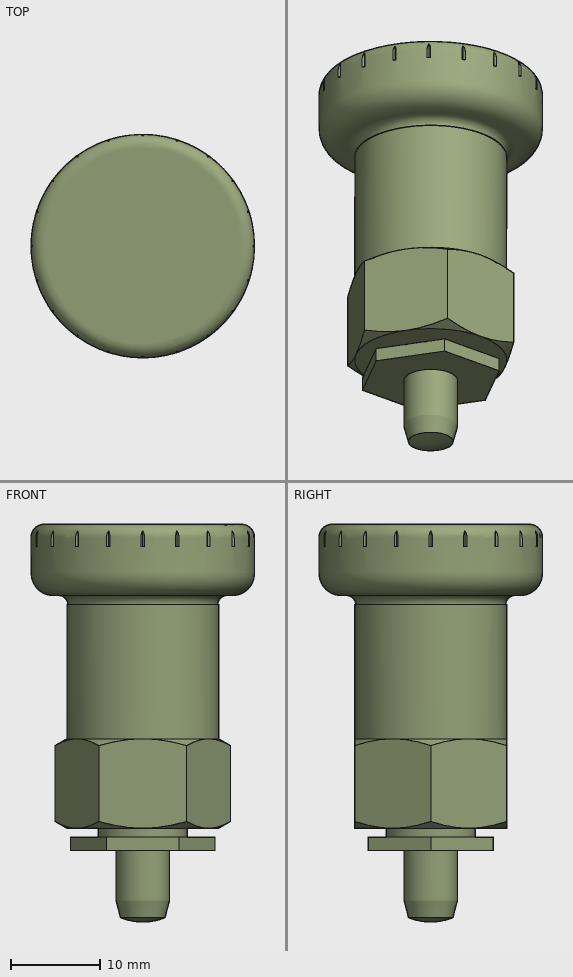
import cadquery as cq
import math


sleeve_radius = 8.5
sleeve_length = 15.0
hex_flats = 17.0
hex_height = 10.0
hex_chamfer_angle = 30.0
neck_radius = 5.0
neck_length = 1.0
flange_flats = 14.0
flange_thickness = 1.5

knob_radius = 12.5
knob_height = 9.0
knob_top_round = 1.5
knob_bottom_round = 2.5
neck_round = 1.0
knob_neck_radius = 8.4

notch_count = 20
notch_depth = 0.2
notch_width = 2 * notch_depth
notch_reach = 2.5

pin_radius = 3.0
pin_protrusion = 8.0
pin_tip_radius = 2.5
pin_taper_length = 1.9
pin_dome_height = 0.5

hex_top = hex_height
sleeve_top = hex_top + sleeve_length
knob_top = sleeve_top + knob_height
flange_top = -neck_length
flange_bottom = flange_top - flange_thickness
pin_bottom = flange_bottom - pin_protrusion


def hexagon(flats, bottom, height):
    """Hexagonal prism with two corners on the X axis."""
    across_corners = flats / math.cos(math.radians(30))
    return cq.Workplane("XY").workplane(offset=bottom).polygon(6, across_corners).extrude(height)


def disc(radius, bottom, height):
    return cq.Workplane("XY").workplane(offset=bottom).circle(radius).extrude(height)


def chamfered_hexagon():
    """Hexagon whose corners are trimmed by a cone at each end."""
    flat_radius = hex_flats / 2
    trim_width = flat_radius
    trim_radius = flat_radius + trim_width
    trim_drop = trim_width * math.tan(math.radians(hex_chamfer_angle))
    trim_body = (
        cq.Workplane("XZ")
        .moveTo(0, 0)
        .lineTo(flat_radius, 0)
        .lineTo(trim_radius, trim_drop)
        .lineTo(trim_radius, hex_height - trim_drop)
        .lineTo(flat_radius, hex_height)
        .lineTo(0, hex_height)
        .close()
        .revolve(360, (0, 0), (0, 1))
    )
    return hexagon(hex_flats, 0, hex_height).intersect(trim_body)


def make_housing():
    sleeve = disc(sleeve_radius, hex_top, sleeve_length)
    neck = disc(neck_radius, flange_top, neck_length)
    flange = hexagon(flange_flats, flange_bottom, flange_thickness)
    pin_bore = disc(pin_radius, flange_bottom, sleeve_top - flange_bottom)
    return chamfered_hexagon().union(sleeve).union(neck).union(flange).cut(pin_bore)


def make_knob():
    """Mushroom knob turned about Z, with V notches around its rim."""
    underside = sleeve_top + neck_round
    diagonal = math.sqrt(0.5)
    neck_round_center = knob_neck_radius + neck_round
    bottom_round_center = (knob_radius - knob_bottom_round, underside + knob_bottom_round)
    top_round_center = (knob_radius - knob_top_round, knob_top - knob_top_round)
    knob = (
        cq.Workplane("XZ")
        .moveTo(0, sleeve_top)
        .lineTo(knob_neck_radius, sleeve_top)
        .threePointArc(
            (neck_round_center - neck_round * diagonal, sleeve_top + neck_round * diagonal),
            (neck_round_center, underside),
        )
        .lineTo(bottom_round_center[0], underside)
        .threePointArc(
            (
                bottom_round_center[0] + knob_bottom_round * diagonal,
                bottom_round_center[1] - knob_bottom_round * diagonal,
            ),
            (knob_radius, bottom_round_center[1]),
        )
        .lineTo(knob_radius, top_round_center[1])
        .threePointArc(
            (
                top_round_center[0] + knob_top_round * diagonal,
                top_round_center[1] + knob_top_round * diagonal,
            ),
            (top_round_center[0], knob_top),
        )
        .lineTo(0, knob_top)
        .close()
        .revolve(360, (0, 0), (0, 1))
    )
    notch_root = knob_radius - notch_depth
    cutter_depth = 2 * notch_depth
    cutter_half_width = cutter_depth * notch_width / (2 * notch_depth)
    cutter = (
        cq.Workplane("XY")
        .workplane(offset=knob_top - notch_reach)
        .moveTo(notch_root, 0)
        .lineTo(notch_root + cutter_depth, cutter_half_width)
        .lineTo(notch_root + cutter_depth, -cutter_half_width)
        .close()
        .extrude(notch_reach)
    )
    for index in range(notch_count):
        knob = knob.cut(cutter.rotate((0, 0, 0), (0, 0, 1), index * 360 / notch_count))
    return knob


def make_pin():
    """Pin through the housing up to the knob, with a tapered, domed tip."""
    dome_edge = pin_bottom + pin_dome_height
    taper_top = dome_edge + pin_taper_length
    dome_radius = (pin_tip_radius**2 + pin_dome_height**2) / (2 * pin_dome_height)
    dome_mid_x = pin_tip_radius / 2
    dome_mid_z = pin_bottom + dome_radius - math.sqrt(dome_radius**2 - dome_mid_x**2)
    return (
        cq.Workplane("XZ")
        .moveTo(0, pin_bottom)
        .threePointArc((dome_mid_x, dome_mid_z), (pin_tip_radius, dome_edge))
        .lineTo(pin_radius, taper_top)
        .lineTo(pin_radius, sleeve_top)
        .lineTo(0, sleeve_top)
        .close()
        .revolve(360, (0, 0), (0, 1))
    )


housing = make_housing()
knob = make_knob()
pin = make_pin()

result = cq.Compound.makeCompound([housing.val(), knob.val(), pin.val()])